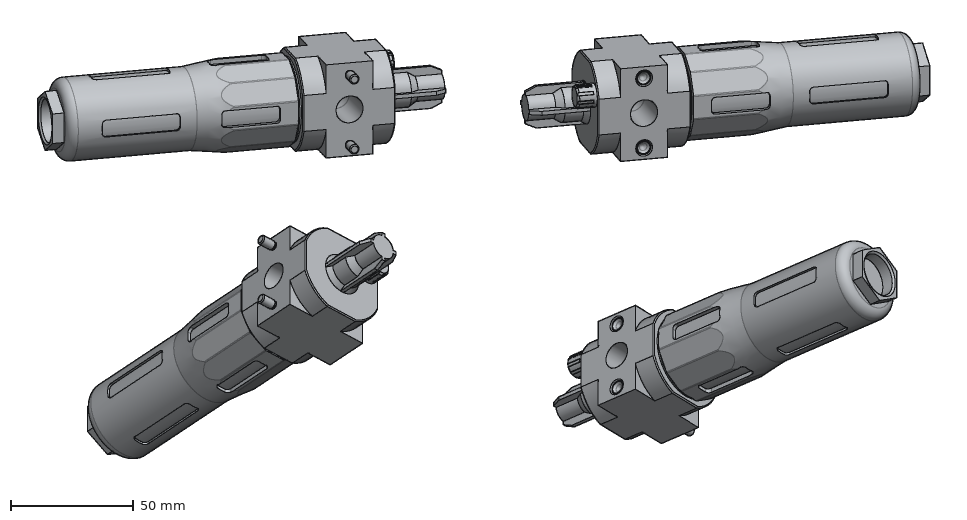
import cadquery as cq
import math

OVERALL_LENGTH = 169.0
OVERALL_WIDTH = 47.3
NOZZLE_TIP_Y = 45.0
HEX_END_Y = NOZZLE_TIP_Y - OVERALL_LENGTH

BLOCK_SIDE = 40.0
BLOCK_HALF = BLOCK_SIDE / 2
BLOCK_BACK_Y = 19.6
BLOCK_FRONT_Y = -20.0
BLOCK_ROUND_RADIUS = 21.5
BLOCK_CHAMFER = 0.5
CROSS_LENGTH = 20.0
PORT_DIAMETER = 11.5

SHOULDER_DIAMETER = 36.0
SHOULDER_END_Y = -20.6
NECK_DIAMETER = 32.6

COLLAR_Y = -21.5
COLLAR_FLATS = 12
COLLAR_ACROSS_FLATS = 37.5
COLLAR_CORNER_RADIUS = 38.7 / 2
CONE_START_Y = -49.2

BOWL_Y = -64.2
BOWL_END_Y = -119.1
BOWL_DIAMETER = 34.6
BOWL_RADIUS = BOWL_DIAMETER / 2
BOWL_FILLET = 4.2

POCKET_COUNT = 4
POCKET_WIDTH = 7.3
POCKET_CORNER = 1.7
UPPER_POCKET_START_Y = -29.0
UPPER_POCKET_LENGTH = 25.0
UPPER_POCKET_FLOOR_RADIUS = 34.3 / 2
LOWER_POCKET_START_Y = -71.3
LOWER_POCKET_LENGTH = 33.3
LOWER_POCKET_FLOOR_RADIUS = NECK_DIAMETER / 2

HEX_SIDES = 6
HEX_ACROSS_FLATS = 22.0
HEX_BORE_DIAMETER = 18.0
HEX_BORE_DEPTH = 5.9
HEX_BORE_CHAMFER = 0.8

NOZZLE_SLIM_RADIUS = 11.0 / 2
NOZZLE_WIDE_RADIUS = 15.0 / 2
NOZZLE_SLIM_END_Y = 33.5
NOZZLE_WIDE_START_Y = 30.0
NOZZLE_FLARE_Y = 22.1
FIN_RADIUS = 18.0 / 2
FIN_TIP_RADIUS = 7.0
FIN_TIP_LENGTH = 4.5
FIN_THICKNESS = 1.7

KNOB_X = -14.0
KNOB_Z = 7.6
KNOB_DIAMETER = 10.0
KNOB_END_Y = 27.9
KNOB_CHAMFER = 0.8
FLUTE_COUNT = 8
FIRST_FLUTE_ANGLE = 30
FLUTE_WIDTH = 1.4
FLUTE_DEPTH = 0.5
FLUTE_START_Y = 21.0

SCREW_Z = 15.0
SCREW_PLACES = (SCREW_Z, -SCREW_Z)
HEAD_DIAMETER = 6.0
HEAD_LENGTH = 4.0
HEAD_RECESS = 0.5
HEAD_START_X = HEAD_RECESS - BLOCK_HALF
HEAD_END_X = HEAD_START_X + HEAD_LENGTH
MOUTH_DIAMETER = 7.1
SOCKET_DIAMETER = 5.2
SOCKET_HOLE_DIAMETER = 3.2
SOCKET_DEPTH = 1.0
SOCKET_TIP_DEPTH = 1.9
SHANK_DIAMETER = 3.5
TIP_DIAMETER = 4.0
TIP_START_X = 20.6
TIP_END_X = OVERALL_WIDTH - BLOCK_HALF
TIP_CHAMFER = 0.5


def revolve_about_y(points):
    """Turn a closed (radius, y) outline about the Y axis."""
    return cq.Workplane("XY").polyline(points).close().revolve(360, (0, 0, 0), (0, 1, 0))


def revolve_about_x(points):
    """Turn a closed (x, radius) outline about the X axis."""
    return cq.Workplane("XY").polyline(points).close().revolve(360, (0, 0, 0), (1, 0, 0))


def prism_along_y(sketch_plane, start_y, end_y):
    """Extrude the sketch on an XZ workplane from start_y down to end_y."""
    return sketch_plane.extrude(start_y - end_y).translate((0, start_y, 0))


def polygon_by_flats(sides, across_flats):
    """Regular polygon about the Y axis with flats facing +X and -X."""
    half_step = math.pi / sides
    turned_plane = cq.Workplane("XZ").transformed(rotate=(0, 0, math.degrees(half_step)))
    return turned_plane.polygon(sides, across_flats / math.cos(half_step))


def make_block():
    """Square block whose corners are rounded beside a cross of flat faces."""
    square = prism_along_y(cq.Workplane("XZ").rect(BLOCK_SIDE, BLOCK_SIDE), BLOCK_BACK_Y, BLOCK_FRONT_Y)
    turned = prism_along_y(cq.Workplane("XZ").circle(BLOCK_ROUND_RADIUS), BLOCK_BACK_Y, BLOCK_FRONT_Y)
    rounded = square.intersect(turned)
    rounded = rounded.faces("<Y or >Y").edges().chamfer(BLOCK_CHAMFER)
    cross = cq.Workplane("XY").box(BLOCK_SIDE, CROSS_LENGTH, BLOCK_SIDE)
    return rounded.union(cross)


def make_neck():
    """Shoulder disc and narrower neck between the block and the collar."""
    shoulder = prism_along_y(
        cq.Workplane("XZ").circle(SHOULDER_DIAMETER / 2), BLOCK_FRONT_Y, SHOULDER_END_Y
    )
    neck = prism_along_y(cq.Workplane("XZ").circle(NECK_DIAMETER / 2), SHOULDER_END_Y, COLLAR_Y)
    return shoulder.union(neck)


def make_collar():
    """Twelve-sided collar that runs out into a cone towards the bowl."""
    turned = revolve_about_y([
        (0, COLLAR_Y),
        (COLLAR_CORNER_RADIUS, COLLAR_Y),
        (COLLAR_CORNER_RADIUS, CONE_START_Y),
        (BOWL_RADIUS, BOWL_Y),
        (0, BOWL_Y),
    ])
    flats = prism_along_y(
        polygon_by_flats(COLLAR_FLATS, COLLAR_ACROSS_FLATS), COLLAR_Y, BOWL_Y
    )
    return turned.intersect(flats)


def make_bowl():
    """Round bowl with a rounded end."""
    bowl = prism_along_y(cq.Workplane("XZ").circle(BOWL_RADIUS), BOWL_Y, BOWL_END_Y)
    return bowl.faces("<Y").edges().fillet(BOWL_FILLET)


def make_pockets(start_y, length, floor_radius):
    """Cutters for four long pockets with a floor concentric with the bowl."""
    slot = (
        cq.Workplane("XY").rect(POCKET_WIDTH, length).extrude(BLOCK_HALF)
        .edges("|Z").fillet(POCKET_CORNER)
        .translate((0, start_y - length / 2, 0))
    )
    floor = prism_along_y(cq.Workplane("XZ").circle(floor_radius), start_y, start_y - length)
    cutter = slot.cut(floor)
    pockets = cq.Workplane("XY")
    for index in range(POCKET_COUNT):
        angle = index * 360 / POCKET_COUNT
        pockets = pockets.add(cutter.rotate((0, 0, 0), (0, 1, 0), angle))
    return pockets.combine()


def make_hexagon():
    """Hexagon at the bowl end, with corners towards +Z and -Z."""
    return prism_along_y(
        polygon_by_flats(HEX_SIDES, HEX_ACROSS_FLATS), BOWL_END_Y, HEX_END_Y
    )


def make_hexagon_bore():
    """Cutter for the blind bore in the hexagon, with a chamfered mouth."""
    bore_radius = HEX_BORE_DIAMETER / 2
    bore_floor_y = HEX_END_Y + HEX_BORE_DEPTH
    return revolve_about_y([
        (0, HEX_END_Y),
        (bore_radius + HEX_BORE_CHAMFER, HEX_END_Y),
        (bore_radius, HEX_END_Y + HEX_BORE_CHAMFER),
        (bore_radius, bore_floor_y),
        (0, bore_floor_y),
    ])


def make_nozzle():
    """Stepped round core with four thin fins."""
    core = revolve_about_y([
        (0, NOZZLE_TIP_Y),
        (NOZZLE_SLIM_RADIUS, NOZZLE_TIP_Y),
        (NOZZLE_SLIM_RADIUS, NOZZLE_SLIM_END_Y),
        (NOZZLE_WIDE_RADIUS, NOZZLE_WIDE_START_Y),
        (NOZZLE_WIDE_RADIUS, NOZZLE_FLARE_Y),
        (FIN_RADIUS, BLOCK_BACK_Y),
        (0, BLOCK_BACK_Y),
    ])
    fin_pair = (
        cq.Workplane("XY")
        .polyline([
            (FIN_RADIUS, BLOCK_BACK_Y),
            (FIN_RADIUS, NOZZLE_TIP_Y - FIN_TIP_LENGTH),
            (FIN_TIP_RADIUS, NOZZLE_TIP_Y),
            (-FIN_TIP_RADIUS, NOZZLE_TIP_Y),
            (-FIN_RADIUS, NOZZLE_TIP_Y - FIN_TIP_LENGTH),
            (-FIN_RADIUS, BLOCK_BACK_Y),
        ])
        .close()
        .extrude(FIN_THICKNESS / 2, both=True)
    )
    return core.union(fin_pair).union(fin_pair.rotate((0, 0, 0), (0, 1, 0), 90))


def make_knob():
    """Round knob with flutes that stop short of the block."""
    radius = KNOB_DIAMETER / 2
    knob = prism_along_y(cq.Workplane("XZ").circle(radius), KNOB_END_Y, BLOCK_BACK_Y)
    knob = knob.faces(">Y").edges().chamfer(KNOB_CHAMFER)
    flute_length = KNOB_END_Y - FLUTE_START_Y
    flute = cq.Workplane("XY").box(2 * FLUTE_DEPTH, flute_length, FLUTE_WIDTH).translate(
        (radius, FLUTE_START_Y + flute_length / 2, 0)
    )
    for index in range(FLUTE_COUNT):
        angle = FIRST_FLUTE_ANGLE + index * 360 / FLUTE_COUNT
        knob = knob.cut(flute.rotate((0, 0, 0), (0, 1, 0), angle))
    return knob.translate((KNOB_X, 0, KNOB_Z))


def make_screw_hole(z):
    """Stepped hole through the block that the screw fills, with a chamfered mouth."""
    head_radius = HEAD_DIAMETER / 2
    shank_radius = SHANK_DIAMETER / 2
    return revolve_about_x([
        (-BLOCK_HALF, 0),
        (-BLOCK_HALF, MOUTH_DIAMETER / 2),
        (HEAD_START_X, head_radius),
        (HEAD_END_X, head_radius),
        (HEAD_END_X, shank_radius),
        (BLOCK_HALF, shank_radius),
        (BLOCK_HALF, 0),
    ]).translate((0, 0, z))


def make_screw(z):
    """Screw with a conical socket in its head and a thicker tip beyond the block."""
    head_radius = HEAD_DIAMETER / 2
    shank_radius = SHANK_DIAMETER / 2
    tip_radius = TIP_DIAMETER / 2
    return revolve_about_x([
        (HEAD_START_X + SOCKET_TIP_DEPTH, 0),
        (HEAD_START_X + SOCKET_DEPTH, SOCKET_HOLE_DIAMETER / 2),
        (HEAD_START_X, SOCKET_DIAMETER / 2),
        (HEAD_START_X, head_radius),
        (HEAD_END_X, head_radius),
        (HEAD_END_X, shank_radius),
        (TIP_START_X, shank_radius),
        (TIP_START_X + TIP_CHAMFER, tip_radius),
        (TIP_END_X - TIP_CHAMFER, tip_radius),
        (TIP_END_X, tip_radius - TIP_CHAMFER),
        (TIP_END_X, 0),
    ]).translate((0, 0, z))


def make_housing():
    """Block, neck, collar, bowl, hexagon, nozzle and knob as one solid."""
    housing = make_block()
    housing = housing.union(make_neck()).union(make_collar()).union(make_bowl())
    housing = housing.union(make_hexagon()).union(make_nozzle()).union(make_knob())
    housing = housing.cut(make_hexagon_bore())
    housing = housing.cut(
        make_pockets(UPPER_POCKET_START_Y, UPPER_POCKET_LENGTH, UPPER_POCKET_FLOOR_RADIUS)
    )
    housing = housing.cut(
        make_pockets(LOWER_POCKET_START_Y, LOWER_POCKET_LENGTH, LOWER_POCKET_FLOOR_RADIUS)
    )
    port = cq.Workplane("YZ").circle(PORT_DIAMETER / 2).extrude(BLOCK_HALF, both=True)
    housing = housing.cut(port)
    for z in SCREW_PLACES:
        housing = housing.cut(make_screw_hole(z))
    return housing


housing = make_housing()
screws = [make_screw(z).val() for z in SCREW_PLACES]

result = cq.Compound.makeCompound([housing.val(), *screws])